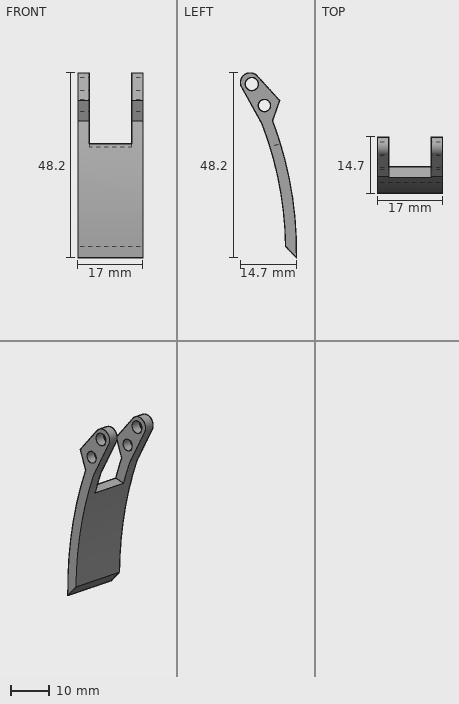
import cadquery as cq
import math

width = 17.0

outer_radius = 95.05
blade_thickness = 2.9
inner_radius = outer_radius - blade_thickness
axis_y = outer_radius
axis_z = 1.8
tip_z = 0.0
tip_inner_z = 3.0
neck_front_z = 35.65
neck_back_z = 34.95

lug_width = 3.0
lug_corner = (4.4, 40.95)
nose_center = (12.1, 45.65)
nose_radius = 2.55
nose_front_angle = 131.0
nose_back_angle = 23.0

cross_holes = [(11.65, 45.25, 3.35), (8.4, 39.65, 3.15)]

gap_floor_front_z = 29.75
cut_margin = 4.8


def blade_point(radius, z):
    """Point (y, z) on a blade arc at height z."""
    return axis_y - math.sqrt(radius**2 - (z - axis_z) ** 2), z


def nose_point(angle):
    """Point (y, z) on the lug nose, with the angle measured from +Y towards +Z."""
    turn = math.radians(angle)
    return nose_center[0] + nose_radius * math.cos(turn), nose_center[1] + nose_radius * math.sin(turn)


def make_body():
    """Side profile of blade and lug, extruded over the full width."""
    front_mid_z = (tip_z + neck_front_z) / 2
    back_mid_z = (tip_inner_z + neck_back_z) / 2
    nose_mid_angle = (nose_front_angle - nose_back_angle) / 2
    return (
        cq.Workplane("YZ")
        .moveTo(*blade_point(outer_radius, tip_z))
        .threePointArc(blade_point(outer_radius, front_mid_z), blade_point(outer_radius, neck_front_z))
        .lineTo(*lug_corner)
        .lineTo(*nose_point(nose_front_angle))
        .threePointArc(nose_point(nose_mid_angle), nose_point(-nose_back_angle))
        .lineTo(*blade_point(inner_radius, neck_back_z))
        .threePointArc(blade_point(inner_radius, back_mid_z), blade_point(inner_radius, tip_inner_z))
        .close()
        .extrude(width / 2, both=True)
    )


def make_gap():
    """Cutter that separates the lugs down to the radial floor."""
    gap_width = width - 2 * lug_width
    floor_y, floor_z = blade_point(outer_radius, gap_floor_front_z)
    floor_slope = (axis_z - floor_z) / (axis_y - floor_y)
    front_y = -cut_margin
    back_y = nose_center[0] + nose_radius + cut_margin
    top_z = nose_center[1] + nose_radius + cut_margin
    return (
        cq.Workplane("YZ")
        .moveTo(front_y, floor_z + floor_slope * (front_y - floor_y))
        .lineTo(back_y, floor_z + floor_slope * (back_y - floor_y))
        .lineTo(back_y, top_z)
        .lineTo(front_y, top_z)
        .close()
        .extrude(gap_width / 2, both=True)
    )


def make_hole(y, z, diameter):
    """Cutter for one hole along X through both lugs."""
    return cq.Workplane("YZ").center(y, z).circle(diameter / 2).extrude(width, both=True)


result = make_body().cut(make_gap())
for hole_y, hole_z, hole_diameter in cross_holes:
    result = result.cut(make_hole(hole_y, hole_z, hole_diameter))